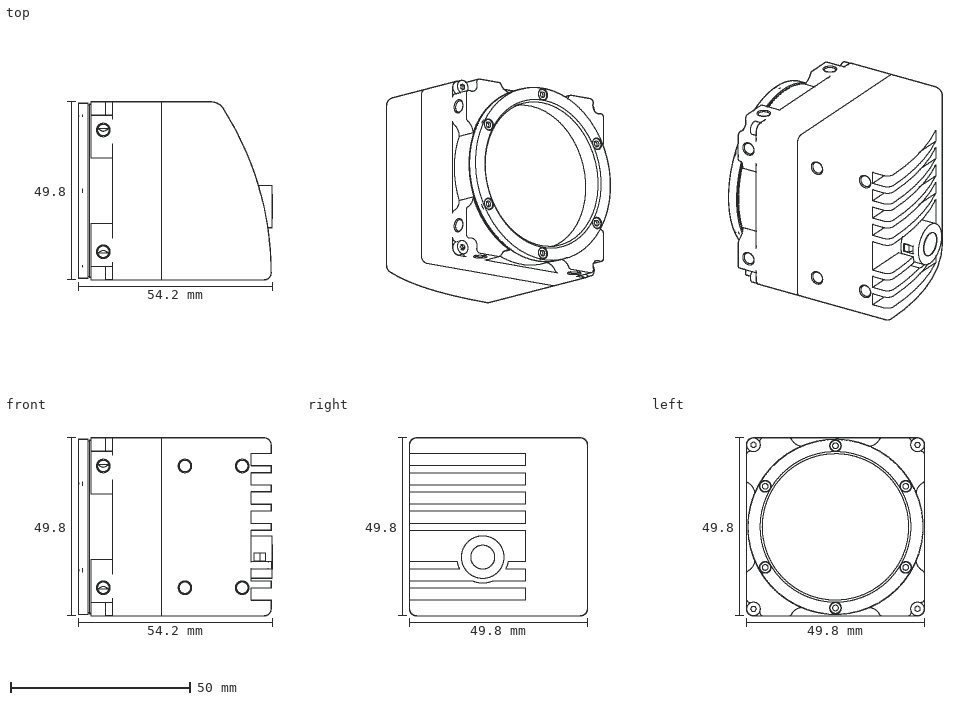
import cadquery as cq
import math


side = 49.8
half = side / 2
edge_radius = 2.0
flange_front = 3.5
block_front = 9.5
split_x = 23.2

ring_diameter = 49.0
ring_thickness = 2.7
groove_diameter = 48.0
groove_width = 0.4
barrel_diameter = 48.6
bore_diameter = 40.92
bore_depth = 6.0
bore_chamfer = 0.6

ring_screw_count = 6
ring_screw_circle = 45.3
ring_screw_head = 3.0
ring_screw_hole = 3.24
ring_screw_hole_depth = 1.2
ring_screw_head_height = 1.0
socket_diameter = 1.6
socket_depth = 0.8

relief_half_floor = 9.1
relief_floor = 22.5
relief_inner_radius = 3.6
relief_outer_radius = 1.0

corner_inset = 2.0
corner_head = 3.8
corner_head_height = 2.0
corner_lip_radius = 1.1

hole_diameter = 3.2
hole_mouth = 3.8
hole_offset = 17.0
flange_hole_x = 6.95
flange_hole_depth = 7.5
drill_tip_angle = 118.0
rear_hole_first_x = 29.75
rear_hole_pitch = 16.0
rear_hole_depth = 6.0

back_x = 53.86
back_radius = 85.5
back_centre_y = -half + edge_radius
back_corner_radius = 4.2

fin_count = 7
fin_pitch = 5.37
fin_thickness = 2.0
fin_root_x = 48.25
missing_fin = 2

connector_y = -4.4
connector_z = -8.45
connector_diameter = 11.9
connector_end = 54.07
connector_clearance = 14.5
insert_diameter = 6.7
insert_end = 54.22
notch_start_x = 49.1
notch_length = 3.1
notch_height = 2.3
notch_depth = 0.4


def cylinder_x(diameter, start, end, y=0.0, z=0.0):
    """Cylinder along X between two X positions."""
    return (
        cq.Workplane("YZ", origin=(start, y, z))
        .circle(diameter / 2)
        .extrude(end - start)
    )


def on_each_side(shape):
    """The shape and its copies turned to all four sides of the block."""
    turned = shape
    for quarter in (1, 2, 3):
        turned = turned.add(shape.rotate((0, 0, 0), (1, 0, 0), 90 * quarter))
    return cq.Workplane("XY").newObject(turned.vals())


def cut_all(body, tools):
    """Cut every solid of a group from the body."""
    for tool in tools.vals():
        body = body.cut(cq.Workplane(tool))
    return body


def mounting_hole(x, z, depth, has_tip):
    """Countersunk blind hole going into the block from its -Y side."""
    radius = hole_diameter / 2
    mouth_radius = hole_mouth / 2
    mouth_depth = mouth_radius - radius
    tip = radius / math.tan(math.radians(drill_tip_angle / 2)) if has_tip else 0.0
    outline = [
        (0, 0),
        (mouth_radius, 0),
        (radius, mouth_depth),
        (radius, depth),
        (0, depth + tip),
    ]
    return (
        cq.Workplane("XY")
        .polyline(outline)
        .close()
        .revolve(360, (0, 0), (0, 1))
        .translate((x, -half, z))
    )


def block():
    """Square block with the curved back and rounded edges, still in one piece."""

    def back_at(y):
        return back_x - back_radius + math.sqrt(back_radius**2 - (y - back_centre_y) ** 2)

    outline = (
        cq.Workplane("XY", origin=(0, 0, -half))
        .moveTo(block_front, -half)
        .lineTo(back_x - edge_radius, -half)
        .radiusArc((back_x, -half + edge_radius), -edge_radius)
        .threePointArc((back_at(0), 0), (back_at(half), half))
        .lineTo(block_front, half)
        .close()
        .extrude(side)
    )
    back_corner = cq.selectors.NearestToPointSelector((back_at(half), half, 0))
    rounded = outline.edges(back_corner).fillet(back_corner_radius)
    return rounded.faces("|Z").edges("not <X").fillet(edge_radius)


def side_relief():
    """Cutter for the middle of the +Z side of the flange, with an S-shaped wall at each end."""
    inner_z = relief_floor + relief_inner_radius
    outer_z = half - relief_outer_radius
    reach = relief_inner_radius + relief_outer_radius
    rise = inner_z - outer_z
    outer_y = relief_half_floor + math.sqrt(reach**2 - rise**2)
    slope = math.asin(rise / reach)
    meet = (
        relief_half_floor + relief_inner_radius * math.cos(slope),
        inner_z - relief_inner_radius * math.sin(slope),
    )
    inner_mid_angle = (math.pi / 2 + slope) / 2
    inner_mid = (
        relief_half_floor + relief_inner_radius * math.cos(inner_mid_angle),
        inner_z - relief_inner_radius * math.sin(inner_mid_angle),
    )
    outer_mid = (
        outer_y - relief_outer_radius * math.cos(inner_mid_angle),
        outer_z + relief_outer_radius * math.sin(inner_mid_angle),
    )

    def mirrored(point):
        return (-point[0], point[1])

    return (
        cq.Workplane("YZ", origin=(flange_front, 0, 0))
        .moveTo(-relief_half_floor, relief_floor)
        .lineTo(relief_half_floor, relief_floor)
        .threePointArc(inner_mid, meet)
        .threePointArc(outer_mid, (outer_y, half))
        .lineTo(outer_y, side)
        .lineTo(-outer_y, side)
        .lineTo(-outer_y, half)
        .threePointArc(mirrored(outer_mid), mirrored(meet))
        .threePointArc(mirrored(inner_mid), (-relief_half_floor, relief_floor))
        .close()
        .extrude(block_front - flange_front)
    )


def corner_pocket():
    """Cutter for the -Y +Z corner of the flange: a round screw pocket with rounded lips."""
    head_radius = corner_head / 2
    reach = head_radius + corner_lip_radius
    drop = corner_inset - corner_lip_radius
    lip = corner_inset + math.sqrt(reach**2 - drop**2)
    share = head_radius / reach
    meet_far = corner_inset + (lip - corner_inset) * share
    meet_near = corner_inset - drop * share
    lip_angle = (math.pi / 2 + math.asin(drop / reach)) / 2
    lip_mid_far = lip - corner_lip_radius * math.cos(lip_angle)
    lip_mid_near = corner_lip_radius * (1 - math.sin(lip_angle))
    bottom = corner_inset + head_radius * math.sqrt(0.5)

    def at(inset_y, inset_z):
        return (-half + inset_y, half - inset_z)

    return (
        cq.Workplane("YZ", origin=(flange_front, 0, 0))
        .moveTo(*at(0, 0))
        .lineTo(*at(lip, 0))
        .threePointArc(at(lip_mid_far, lip_mid_near), at(meet_far, meet_near))
        .threePointArc(at(bottom, bottom), at(meet_near, meet_far))
        .threePointArc(at(lip_mid_near, lip_mid_far), at(0, lip))
        .close()
        .extrude(block_front - flange_front)
    )


def corner_screw():
    """Head of the screw in the -Y +Z corner, with its hexagon socket."""
    head_front = block_front - corner_head_height
    y = -half + corner_inset
    z = half - corner_inset
    socket = (
        cq.Workplane("YZ", origin=(head_front, y, z))
        .polygon(6, socket_diameter)
        .extrude(socket_depth)
    )
    return cylinder_x(corner_head, head_front, block_front, y, z).cut(socket)


def flange():
    """Square flange around the barrel, with reliefs, corner pockets and the barrel added."""
    body = cq.Workplane("YZ", origin=(flange_front, 0, 0)).rect(side, side)
    body = body.extrude(block_front - flange_front)
    body = cut_all(body, on_each_side(side_relief()))
    body = cut_all(body, on_each_side(corner_pocket()))
    groove_end = ring_thickness + groove_width
    body = body.union(cylinder_x(barrel_diameter, groove_end, block_front))
    body = body.union(cylinder_x(groove_diameter, ring_thickness, groove_end))
    return body.union(cylinder_x(ring_diameter, 0, ring_thickness))


def cut_bore(body):
    """Blind bore behind the ring, with a chamfered mouth."""
    radius = bore_diameter / 2
    outline = [
        (0, 0),
        (0, radius + bore_chamfer),
        (bore_chamfer, radius),
        (bore_depth, radius),
        (bore_depth, 0),
    ]
    bore = cq.Workplane("XY").polyline(outline).close().revolve(360, (0, 0), (1, 0))
    return body.cut(bore)


def add_ring_screws(body):
    """Socket screws sunk in counterbores around the ring."""
    head_front = ring_screw_hole_depth - ring_screw_head_height
    for index in range(ring_screw_count):
        angle = math.radians(90 + 360 / ring_screw_count * index)
        y = ring_screw_circle / 2 * math.cos(angle)
        z = ring_screw_circle / 2 * math.sin(angle)
        head = cylinder_x(ring_screw_head, head_front, ring_screw_hole_depth, y, z)
        socket = cylinder_x(socket_diameter, head_front, head_front + socket_depth, y, z)
        body = body.cut(cylinder_x(ring_screw_hole, 0, ring_screw_hole_depth, y, z))
        body = body.union(head.cut(socket))
    return body


def make_front_housing(whole_block):
    """Part of the block ahead of the split, with the flange, ring, screws and mounting holes."""
    behind_split = cq.Workplane("XY").box(side * 2, side * 2, side * 2)
    behind_split = behind_split.translate((split_x + side, 0, 0))
    body = whole_block.cut(behind_split).union(flange())
    body = add_ring_screws(cut_bore(body))
    for screw in on_each_side(corner_screw()).vals():
        body = body.union(cq.Workplane(screw))
    for z in (-hole_offset, hole_offset):
        hole = mounting_hole(flange_hole_x, z, flange_hole_depth, True)
        body = cut_all(body, on_each_side(hole))
    return body


def fin_slots():
    """Cutters for the gaps between the fins, open to the back and to both sides."""
    slot_length = insert_end - fin_root_x
    gap = fin_pitch - fin_thickness
    slots = []
    for index in range(fin_count + 1):
        z = (index - fin_count / 2) * fin_pitch
        slots.append((z, gap))
    missing_fin_z = (missing_fin - (fin_count - 1) / 2) * fin_pitch
    slots.append((missing_fin_z, fin_pitch))
    cutters = cq.Workplane("XY")
    for z, height in slots:
        cutters = cutters.add(
            cq.Workplane("XY")
            .box(slot_length, side * 2, height, (False, True, True))
            .translate((fin_root_x, 0, z))
        )
    return cutters


def connector_notch():
    """Cutter for the -Y side of the connector: a flat half in front of a rounded, deeper half."""
    half_length = notch_length / 2
    surface_y = connector_y - connector_diameter / 2
    middle_x = notch_start_x + half_length
    end_x = notch_start_x + notch_length
    drop = half_length * math.sqrt(0.5)
    outside_y = surface_y - notch_depth
    return (
        cq.Workplane("XY", origin=(0, 0, connector_z - notch_height / 2))
        .moveTo(notch_start_x, outside_y)
        .lineTo(notch_start_x, surface_y + notch_depth)
        .lineTo(middle_x, surface_y + notch_depth)
        .threePointArc(
            (end_x - drop, surface_y + notch_depth + drop),
            (end_x, surface_y + notch_depth + half_length),
        )
        .lineTo(end_x, outside_y)
        .close()
        .extrude(notch_height)
    )


def add_connector(body):
    """Round connector seated at the fin roots, with clearance cut through the fins."""
    body = body.cut(
        cylinder_x(connector_clearance, fin_root_x, insert_end, connector_y, connector_z)
    )
    shell = cylinder_x(connector_diameter, fin_root_x, connector_end, connector_y, connector_z)
    insert = cylinder_x(insert_diameter, fin_root_x, insert_end, connector_y, connector_z)
    return body.union(shell.cut(connector_notch()).union(insert))


def make_rear_housing(whole_block):
    """Part of the block behind the split, with the fins, connector and mounting holes."""
    before_split = cq.Workplane("XY").box(side * 2, side * 2, side * 2)
    before_split = before_split.translate((split_x - side, 0, 0))
    body = cut_all(whole_block.cut(before_split), fin_slots())
    body = add_connector(body)
    for x in (rear_hole_first_x, rear_hole_first_x + rear_hole_pitch):
        for z in (-hole_offset, hole_offset):
            body = body.cut(mounting_hole(x, z, rear_hole_depth, False))
    return body


camera_block = block()
front_housing = make_front_housing(camera_block)
rear_housing = make_rear_housing(camera_block)

result = cq.Compound.makeCompound([front_housing.val(), rear_housing.val()])